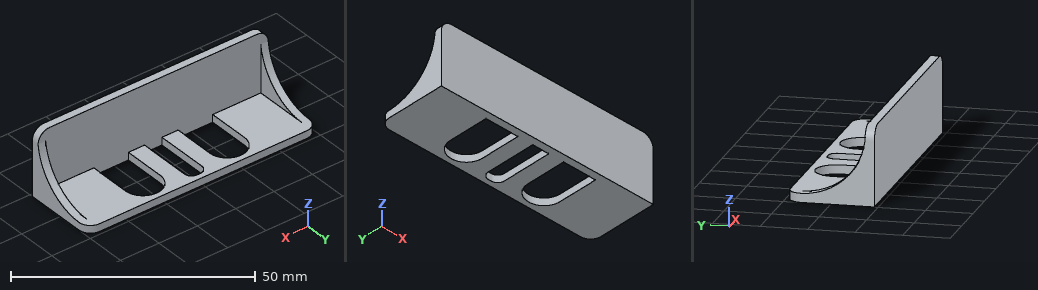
import cadquery as cq

length = 60.0
depth = 18.5
height = 17.0

wall = 2.0
corner_radius = 3.0

slot_end_margin = 1.5
wide_slot_width = 9.0
wide_slot_offset = 11.0
narrow_slot_width = 4.5
narrow_slot_radius = 1.8

gusset_rear = depth - corner_radius
gusset_top = height - corner_radius
arc_run = gusset_rear - wall
arc_rise = gusset_top - wall
arc_radius = (arc_run**2 + arc_rise**2) / (2 * arc_rise)


def base_plate():
    return (
        cq.Workplane("XY")
        .box(length, depth, wall, centered=(True, False, False))
        .edges("|Z and >Y")
        .fillet(corner_radius)
    )


def front_plate():
    return (
        cq.Workplane("XY")
        .box(length, wall, height, centered=(True, False, False))
        .edges("|Y and >Z")
        .fillet(corner_radius)
    )


def end_gusset(x_start):
    """Triangular end wall with a concave upper edge."""
    return (
        cq.Workplane("YZ", origin=(x_start, 0, 0))
        .moveTo(0, 0)
        .lineTo(gusset_rear, 0)
        .lineTo(gusset_rear, wall)
        .radiusArc((wall, gusset_top), arc_radius)
        .lineTo(0, gusset_top)
        .close()
        .extrude(wall)
    )


def slot(x_center, width, end_radius):
    """Cutter for a slot with a rounded rear end."""
    slot_length = depth - slot_end_margin - wall
    return (
        cq.Workplane("XY", origin=(x_center, wall, 0))
        .box(width, slot_length, wall, centered=(True, False, False))
        .edges("|Z and >Y")
        .fillet(end_radius)
    )


result = base_plate().union(front_plate())
for x_start in (-length / 2, length / 2 - wall):
    result = result.union(end_gusset(x_start))

wide_slot_radius = 0.499 * wide_slot_width
for side in (-1, 1):
    result = result.cut(slot(side * wide_slot_offset, wide_slot_width, wide_slot_radius))
result = result.cut(slot(0, narrow_slot_width, narrow_slot_radius))